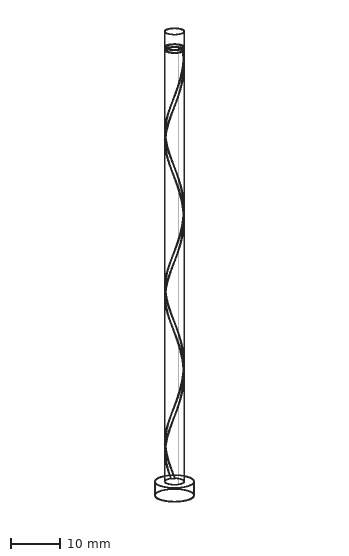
import cadquery as cq

total_length = 100.0
head_diameter = 8.0
head_height = 3.0
shaft_diameter = 4.0
shaft_radius = shaft_diameter / 2

ring_bottom = 96.0
ring_height = 0.6
ring_depth = 0.3

spiral_pitch = 33.4
spiral_width = 0.8
spiral_depth = 0.2
spiral_start_angle = 166.0
cutter_overhang = 0.3


def make_pin():
    head = cq.Workplane("XY").circle(head_diameter / 2).extrude(head_height)
    shaft = cq.Workplane("XY").circle(shaft_radius).extrude(total_length)
    return head.union(shaft)


def ring_cutter():
    return (
        cq.Workplane("XY", origin=(0, 0, ring_bottom))
        .circle(head_diameter / 2)
        .circle(shaft_radius - ring_depth)
        .extrude(ring_height)
    )


def spiral_cutter():
    """Twist a small rectangle at the shaft surface around the Z axis."""
    spiral_length = ring_bottom - head_height
    radial_size = spiral_depth + cutter_overhang
    center_radius = shaft_radius - spiral_depth + radial_size / 2
    return (
        cq.Workplane("XY", origin=(0, 0, head_height))
        .transformed(rotate=(0, 0, spiral_start_angle))
        .moveTo(center_radius, 0)
        .rect(radial_size, spiral_width)
        .twistExtrude(spiral_length, 360 * spiral_length / spiral_pitch)
    )


result = make_pin().cut(ring_cutter()).cut(spiral_cutter())